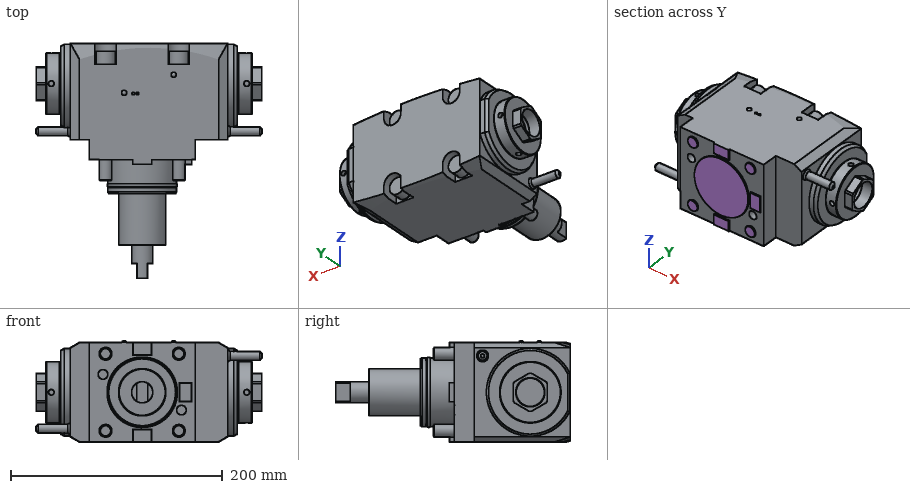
import cadquery as cq
import math


overall_length = 222

half_height = 47.0
block_width = 149.2
block_centre_x = 6.5
block_back_y = 109.7
neck_width = 100.3
neck_length = 18.6
edge_chamfer_width = 8.9
edge_chamfer_angle = 30
edge_chamfer_drop = edge_chamfer_width * math.tan(math.radians(edge_chamfer_angle))

bevel_angle = 16
bevel_radius = 199.8
bevel_inset = 4.0

screw_x = 34.6
screw_z = 36.5
screw_diameter = 12.0
screw_length = 20
screw_chamfer = 1.0
head_diameter = 18.0
head_length = 12.0
pocket_width = 20
pocket_depth = 19.5

key_width = 18.2
key_height = 12.0
key_length = 4.7
key_chamfer = 0.5
side_key_x = 40.8
side_key_length = 5.0

dowel_x = 37.0
dowel_z = 16.9
dowel_diameter = 9.0
dowel_depth = 11

boss_radius = 32.6
boss_end = 32.2
boss_chamfer_radial = 1.0
boss_chamfer_axial = 1.8
groove_start = 22.6
groove_width = 4.0
groove_radius = 30.2
ring_thickness = 3.0
sleeve_radius = 22.5
sleeve_end = 81.0
sleeve_chamfer = 0.7
shaft_radius = 10.0
shaft_end = overall_length - block_back_y
tang_width = 10.2
tang_length = 14.0

spindle_y = 71.7
flange_radius = 41.5
flange_thickness = 8.9
flange_flat_y = 109.0
flange_chamfer_axial = 3.5
flange_chamfer_radial = 2.0
relief_radius = 27.5
relief_width = 0.7
nut_radius = 29.0
nut_thickness = 13.3
nut_chamfer = 0.7
spanner_hole_diameter = 5.3
spanner_hole_depth = 4.5
spanner_hole_inset = 5.0
hex_across_flats = 32.2
hex_corner_radius = 18.0
hex_height = 9.3
bore_diameter = 27.5
bore_depth = 12.0
inner_bore_diameter = 26.6
inner_bore_depth = 15.5

pin_y = 26.6
pin_z = 34.5
pin_radius = 4.2
pin_length = 32.5
pin_tip_radius = 1.8
pin_tip_length = 2.2
pin_collar_radius = 5.5
pin_collar_length = 2.0

button_positions = [(-17.0, 63.0), (29.7, 80.1)]
button_radius = 2.5
button_height = 1.5
marker_hole_positions = [(-8.5, 62.4), (-4.5, 62.4)]
marker_hole_diameter = 2.5
marker_hole_depth = 1.0

MIRROR_SIGNS = (-1, 1)


def box(x_range, y_range, z_range):
    """Box between two limits on each axis."""
    size = [high - low for low, high in (x_range, y_range, z_range)]
    return cq.Workplane("XY").box(*size, centered=False).translate((x_range[0], y_range[0], z_range[0]))


def cylinder_along_y(x, z, y_start, y_end, radius):
    """Cylinder parallel to Y, running from y_start back to the smaller y_end."""
    return cq.Workplane("XZ", origin=(0, y_start, 0)).center(x, z).circle(radius).extrude(y_start - y_end)


def make_block():
    """Neck and main block, with sloped long edges and the turned bevel at the back."""
    half_width = block_width / 2
    inner_width = half_width - edge_chamfer_width
    inner_height = half_height - edge_chamfer_drop
    outline = [
        (-half_width, -inner_height),
        (-inner_width, -half_height),
        (inner_width, -half_height),
        (half_width, -inner_height),
        (half_width, inner_height),
        (inner_width, half_height),
        (-inner_width, half_height),
        (-half_width, inner_height),
    ]
    block = (
        cq.Workplane("XZ", origin=(block_centre_x, block_back_y, 0))
        .polyline(outline)
        .close()
        .extrude(block_back_y - neck_length)
    )
    mid_radius = bevel_radius + half_height / math.tan(math.radians(bevel_angle))
    bevel_axis_y = block_back_y - bevel_inset - bevel_radius
    bevel_envelope = (
        cq.Workplane("XZ")
        .polyline([(0, -half_height), (bevel_radius, -half_height), (mid_radius, 0),
                   (bevel_radius, half_height), (0, half_height)])
        .close()
        .revolve(360, (0, 0), (0, 1))
        .translate((block_centre_x, bevel_axis_y, 0))
    )
    neck = box((-neck_width / 2, neck_width / 2), (0, neck_length), (-half_height, half_height))
    return block.intersect(bevel_envelope).union(neck)


def make_screw_pocket(x, side):
    """Counterbore in the back face, open to the top (side 1) or bottom (side -1)."""
    floor_y = block_back_y - pocket_depth
    bore = cylinder_along_y(x, side * screw_z, block_back_y, floor_y, pocket_width / 2)
    slot_z = sorted((side * screw_z, side * half_height))
    half_width = pocket_width / 2
    return bore.union(box((x - half_width, x + half_width), (floor_y, block_back_y), slot_z))


def make_screw_head(x, z):
    """Cylindrical screw head standing on the pocket floor."""
    floor_y = block_back_y - pocket_depth
    return cylinder_along_y(x, z, floor_y + head_length, floor_y, head_diameter / 2)


def make_screw_end(x, z):
    """Screw end standing out of the mounting face."""
    return cylinder_along_y(x, z, 0, -screw_length, screw_diameter / 2).faces("<Y").chamfer(screw_chamfer)


def make_keys():
    """Locating keys at the top, bottom and +X side of the mounting face."""
    half_width = key_width / 2
    half_key_height = key_height / 2
    upright = box((-half_width, half_width), (-key_length, 0), (half_height - key_height, half_height))
    upright = upright.faces("<Y").chamfer(key_chamfer)
    side = box(
        (side_key_x - half_key_height, side_key_x + half_key_height),
        (-side_key_length, 0),
        (-half_width, half_width),
    ).faces("<Y").chamfer(key_chamfer)
    return [upright, upright.mirror("XY"), side]


def make_shank():
    """Boss with a ring groove, sleeve and drive shaft, turned about the Y axis."""
    groove_end = groove_start + groove_width
    profile = [
        (0, 0),
        (boss_radius, 0),
        (boss_radius, -groove_start),
        (groove_radius, -groove_start),
        (groove_radius, -groove_end),
        (boss_radius, -groove_end),
        (boss_radius, -boss_end + boss_chamfer_axial),
        (boss_radius - boss_chamfer_radial, -boss_end),
        (sleeve_radius, -boss_end),
        (sleeve_radius, -sleeve_end + sleeve_chamfer),
        (sleeve_radius - sleeve_chamfer, -sleeve_end),
        (shaft_radius, -sleeve_end),
        (shaft_radius, -shaft_end),
        (0, -shaft_end),
    ]
    shank = cq.Workplane("XY").polyline(profile).close().revolve(360, (0, 0), (0, 1))
    tang_y = (-shaft_end, -shaft_end + tang_length)
    for side in MIRROR_SIGNS:
        x_range = sorted((side * tang_width / 2, side * sleeve_radius))
        shank = shank.cut(box(x_range, tang_y, (-sleeve_radius, sleeve_radius)))
    return shank


def make_collet_end():
    """Flange, nut and hexagon, stacked along +Z from the block side face; +Y stays +Y."""
    flat_offset = flange_flat_y - spindle_y
    flange = cq.Workplane("XY").circle(flange_radius).extrude(flange_thickness)
    flange = flange.cut(
        box((-flange_radius, flange_radius), (flat_offset, flange_radius), (0, flange_thickness))
    )
    flange = flange.faces(">Z").chamfer(flange_chamfer_axial, flange_chamfer_radial)

    nut_base = flange_thickness + relief_width
    nut_top = nut_base + nut_thickness
    relief = cq.Workplane("XY").circle(relief_radius).extrude(nut_base)
    nut = cq.Workplane("XY", origin=(0, 0, nut_base)).circle(nut_radius).extrude(nut_thickness)
    nut = nut.faces("<Z or >Z").chamfer(nut_chamfer)
    spanner_hole = (
        cq.Workplane("XZ", origin=(0, -nut_radius + spanner_hole_depth, nut_top - spanner_hole_inset))
        .circle(spanner_hole_diameter / 2)
        .extrude(nut_radius)
    )
    for quarter in range(4):
        nut = nut.cut(spanner_hole.rotate((0, 0, 0), (0, 0, 1), 90 * quarter))

    across_corners = hex_across_flats / math.cos(math.pi / 6)
    hexagon = cq.Workplane("XY", origin=(0, 0, nut_top)).polygon(6, across_corners).extrude(hex_height)
    corner_limit = cq.Workplane("XY", origin=(0, 0, nut_top)).circle(hex_corner_radius).extrude(hex_height)
    hexagon = hexagon.intersect(corner_limit)

    end_z = nut_top + hex_height
    end = flange.union(relief).union(nut).union(hexagon)
    for diameter, depth in ((bore_diameter, bore_depth), (inner_bore_diameter, inner_bore_depth)):
        bore = cq.Workplane("XY", origin=(0, 0, end_z - depth)).circle(diameter / 2).extrude(depth)
        end = end.cut(bore)
    return end


def make_side_pin():
    """Pin along +Z with a flared collar at its foot and a tapered tip."""
    profile = [
        (0, 0),
        (pin_collar_radius, 0),
        (pin_radius, pin_collar_length),
        (pin_radius, pin_length - pin_tip_length),
        (pin_tip_radius, pin_length),
        (0, pin_length),
    ]
    return cq.Workplane("XZ").polyline(profile).close().revolve(360, (0, 0), (0, 1))


def place_on_side(shape, side, y, z):
    """Turn a shape built along +Z to point along X and set it on the block side face."""
    face_x = block_centre_x + side * block_width / 2
    return shape.rotate((0, 0, 0), (0, 1, 0), side * 90).translate((face_x, y, z))


def make_button(x, y):
    """Shallow spherical dome on the top face."""
    sphere_radius = (button_radius**2 + button_height**2) / (2 * button_height)
    dome = (
        cq.Workplane("XZ")
        .lineTo(button_radius, 0)
        .radiusArc((0, button_height), -sphere_radius)
        .close()
        .revolve(360, (0, 0), (0, 1))
    )
    return dome.translate((x, y, half_height))


def make_marker_holes():
    """Small blind holes in the top face."""
    return (
        cq.Workplane("XY", origin=(0, 0, half_height - marker_hole_depth))
        .pushPoints(marker_hole_positions)
        .circle(marker_hole_diameter / 2)
        .extrude(marker_hole_depth)
    )


def make_housing():
    """Housing with its screws, keys, collet ends, pins and shank as one solid."""
    housing = make_block()
    for x in (-screw_x, screw_x):
        for side in MIRROR_SIGNS:
            housing = housing.cut(make_screw_pocket(x, side))
            housing = housing.union(make_screw_head(x, side * screw_z))
            housing = housing.union(make_screw_end(x, side * screw_z))
    for key in make_keys():
        housing = housing.union(key)
    for side in MIRROR_SIGNS:
        dowel_hole = cylinder_along_y(side * dowel_x, -side * dowel_z, dowel_depth, 0, dowel_diameter / 2)
        housing = housing.cut(dowel_hole)
        housing = housing.union(place_on_side(make_collet_end(), side, spindle_y, 0))
        housing = housing.union(place_on_side(make_side_pin(), side, pin_y, side * pin_z))
    for x, y in button_positions:
        housing = housing.union(make_button(x, y))
    housing = housing.cut(make_marker_holes())
    return housing.union(make_shank())


def make_sealing_ring():
    """Round-section ring resting on the groove floor, against the wall nearer the housing."""
    section_radius = ring_thickness / 2
    centre_radius = groove_radius + section_radius
    return (
        cq.Workplane("XY", origin=(0, -groove_start - section_radius, 0))
        .moveTo(centre_radius, 0)
        .circle(section_radius)
        .revolve(360, (0, 0), (0, 1))
    )


housing = make_housing()
sealing_ring = make_sealing_ring()

result = cq.Compound.makeCompound([housing.solids().val(), sealing_ring.val()])